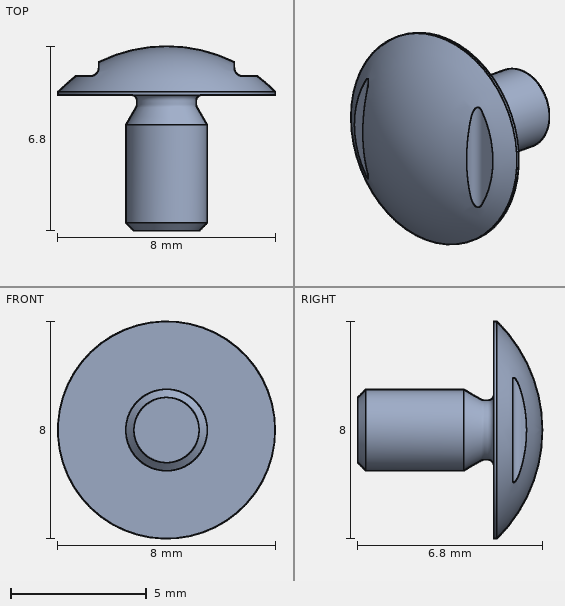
import cadquery as cq
import math

head_diameter = 8.0
head_height = 1.8
rim_thickness = 0.12

shank_diameter = 3.0
shank_length = 5.0
tip_chamfer = 0.3
neck_diameter = 2.2
neck_fillet = 0.2
shoulder_start = 1.1
shoulder_angle = math.radians(30)

notch_wall_x = 2.5
notch_floor_y = 0.7
notch_fillet = 0.3

head_radius = head_diameter / 2
shank_radius = shank_diameter / 2
neck_radius = neck_diameter / 2
dome_rise = head_height - rim_thickness
dome_radius = (head_radius**2 + dome_rise**2) / (2 * dome_rise)


def make_head():
    """Revolve the rim and dome around the Y axis."""
    center_y = head_height - dome_radius
    middle_x = head_radius / 2
    middle_y = center_y + math.sqrt(dome_radius**2 - middle_x**2)
    return (
        cq.Workplane("XY")
        .lineTo(head_radius, 0)
        .lineTo(head_radius, rim_thickness)
        .threePointArc((middle_x, middle_y), (0, head_height))
        .close()
        .revolve(360, (0, 0), (0, 1))
    )


def make_shank():
    """Revolve the necked shank, with a flare that blends into the head."""
    cone_start = shoulder_start - (shank_radius - neck_radius) / math.tan(shoulder_angle)
    tangent_length = neck_fillet * math.tan(shoulder_angle / 2)
    blend_center_x = neck_radius + neck_fillet
    blend_center_y = -(cone_start - tangent_length)

    def on_blend(angle):
        return (
            blend_center_x - neck_fillet * math.cos(angle),
            blend_center_y - neck_fillet * math.sin(angle),
        )

    flare_offset = neck_fillet * math.cos(math.radians(45))
    return (
        cq.Workplane("XY")
        .lineTo(neck_radius + neck_fillet, 0)
        .threePointArc(
            (blend_center_x - flare_offset, flare_offset - neck_fillet),
            (neck_radius, -neck_fillet),
        )
        .lineTo(neck_radius, blend_center_y)
        .threePointArc(on_blend(shoulder_angle / 2), on_blend(shoulder_angle))
        .lineTo(shank_radius, -shoulder_start)
        .lineTo(shank_radius, tip_chamfer - shank_length)
        .lineTo(shank_radius - tip_chamfer, -shank_length)
        .lineTo(0, -shank_length)
        .close()
        .revolve(360, (0, 0), (0, 1))
    )


def make_notch_cutter(side):
    """Block with a rounded inner floor edge; side is +1 for +X and -1 for -X."""
    width = head_radius - notch_wall_x
    height = head_height - notch_floor_y
    inner_floor_edge = "<X and <Y" if side > 0 else ">X and <Y"
    return (
        cq.Workplane("XY")
        .box(width, height, head_diameter)
        .edges("|Z")
        .edges(inner_floor_edge)
        .fillet(notch_fillet)
        .translate((side * (notch_wall_x + width / 2), notch_floor_y + height / 2, 0))
    )


result = make_head().union(make_shank())
for side in (-1, 1):
    result = result.cut(make_notch_cutter(side))